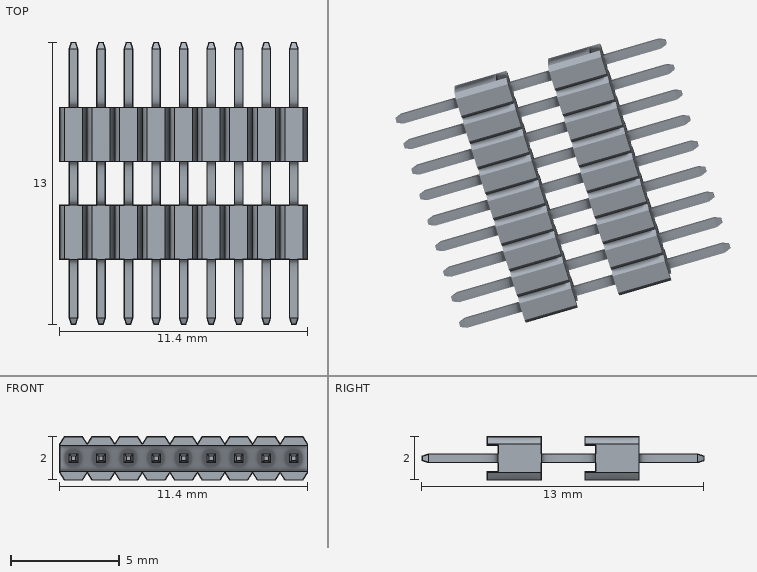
import cadquery as cq

pin_count = 9
pitch = 1.27
pin_size = 0.4
pin_length = 13.0
tip_size = 0.2
tip_length = 0.3

strip_height = 2.0
strip_back_positions = (3.5, -1.0)
flange_depth = 2.5
web_depth = 2.0
web_height = 1.2
notch_depth = 0.35
notch_half_width = 0.22

strip_length = pin_count * pitch
first_pin_x = -(pin_count - 1) * pitch / 2


def make_pin(x):
    """Square pin along Y, centred at the given X, with a pyramidal taper at both ends."""
    shank_length = pin_length - 2 * tip_length
    pin = cq.Workplane("XY").box(pin_size, shank_length, pin_size)
    for end_face in (">Y", "<Y"):
        tip = (
            pin.faces(end_face)
            .workplane(centerOption="CenterOfMass")
            .rect(pin_size, pin_size)
            .workplane(offset=tip_length)
            .rect(tip_size, tip_size)
            .loft(ruled=True, combine=False)
        )
        pin = pin.union(tip)
    return pin.translate((x, 0, 0))


def cut_notches(strip, back_y):
    """Cut V-notches between neighbouring pins, and half notches at both strip ends, top and bottom."""
    top_z = strip_height / 2
    for boundary in range(pin_count + 1):
        x = boundary * pitch - strip_length / 2
        for side in (1, -1):
            notch = (
                cq.Workplane("XZ", origin=(x, back_y, 0))
                .moveTo(-notch_half_width, side * top_z)
                .lineTo(notch_half_width, side * top_z)
                .lineTo(0, side * (top_z - notch_depth))
                .close()
                .extrude(flange_depth)
            )
            strip = strip.cut(notch)
    return strip


def make_strip(back_y):
    """Insulator strip whose flanges overhang the web on the -Y side."""
    strip = cq.Workplane("XY").box(strip_length, flange_depth, strip_height)
    strip = strip.translate((0, back_y - flange_depth / 2, 0))

    recess_depth = flange_depth - web_depth
    recess_y = back_y - web_depth - recess_depth / 2
    recess = cq.Workplane("XY").box(strip_length, recess_depth, web_height)
    strip = strip.cut(recess.translate((0, recess_y, 0)))
    return cut_notches(strip, back_y)


def make_header():
    """Both insulator strips joined by the row of pins passing through them."""
    header = cq.Workplane("XY")
    for back_y in strip_back_positions:
        header = header.add(make_strip(back_y))
    for index in range(pin_count):
        header = header.add(make_pin(first_pin_x + index * pitch))
    return header.combine().solids()


result = make_header()